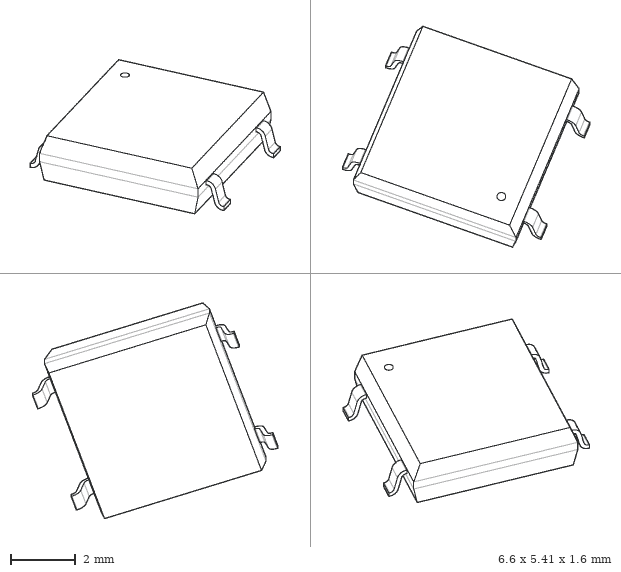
import cadquery as cq
import math

SPAN_X = 6.6
BODY_X = 5.4
BODY_Y = 5.41
BODY_HEIGHT = 1.6

BAND_BOTTOM = 0.65
BAND_TOP = 0.945
TOP_INSET_X = 0.23
BOTTOM_INSET_X = 0.13
INSET_Y = 0.045

LEAD_WIDTH = 0.5
LEAD_THICKNESS = 0.145
LEAD_TOP = 0.925
LEAD_Y = 1.85
INNER_RADIUS = 0.15
OUTER_RADIUS = INNER_RADIUS + LEAD_THICKNESS
LEAN = math.radians(14)

MARKER_DIAMETER = 0.27
MARKER_DEPTH = 0.05
MARKER_X = -1.88
MARKER_Y = LEAD_Y


def tapered_half(band_z, end_z, inset_x):
    """Frustum from the edge of the band to the flat top or bottom face."""
    return (
        cq.Workplane("XY", origin=(0, 0, band_z))
        .rect(BODY_X, BODY_Y)
        .workplane(offset=end_z - band_z)
        .rect(BODY_X - 2 * inset_x, BODY_Y - 2 * INSET_Y)
        .loft(ruled=True)
    )


def make_marker():
    """Disc that fills the marker recess."""
    return (
        cq.Workplane("XY", origin=(MARKER_X, MARKER_Y, BODY_HEIGHT - MARKER_DEPTH))
        .circle(MARKER_DIAMETER / 2)
        .extrude(MARKER_DEPTH)
    )


def make_housing(marker):
    """Housing with a recess for the marker."""
    band = (
        cq.Workplane("XY", origin=(0, 0, BAND_BOTTOM))
        .rect(BODY_X, BODY_Y)
        .extrude(BAND_TOP - BAND_BOTTOM)
    )
    upper = tapered_half(BAND_TOP, BODY_HEIGHT, TOP_INSET_X)
    lower = tapered_half(BAND_BOTTOM, 0, BOTTOM_INSET_X)
    return band.union(upper).union(lower).cut(marker)


def point_on_bend(center, radius, angle):
    """Point at an angle, from +X toward +Z, on a bend of the lead."""
    return (center[0] + radius * math.cos(angle), center[1] + radius * math.sin(angle))


def make_lead():
    """Lead on the +X side, centred on Y = 0, from the housing face to the foot tip."""
    face_x = BODY_X / 2
    tip_x = SPAN_X / 2

    bend_middle_radius = (INNER_RADIUS + OUTER_RADIUS) / 2
    shank_drop = LEAD_TOP - LEAD_THICKNESS - 2 * bend_middle_radius * (1 - math.sin(LEAN))
    shank_run = shank_drop * math.tan(LEAN)
    bends_run = 2 * bend_middle_radius * math.cos(LEAN)
    level_length = (tip_x - face_x - shank_run - bends_run) / 2

    shoulder = (face_x + level_length, LEAD_TOP - OUTER_RADIUS)
    heel = (tip_x - level_length, OUTER_RADIUS)
    shoulder_mid = (LEAN + math.pi / 2) / 2
    heel_mid = shoulder_mid + math.pi
    heel_start = LEAN + math.pi
    profile = (
        cq.Workplane("XZ")
        .moveTo(face_x, LEAD_TOP)
        .lineTo(shoulder[0], LEAD_TOP)
        .threePointArc(
            point_on_bend(shoulder, OUTER_RADIUS, shoulder_mid),
            point_on_bend(shoulder, OUTER_RADIUS, LEAN),
        )
        .lineTo(*point_on_bend(heel, INNER_RADIUS, heel_start))
        .threePointArc(
            point_on_bend(heel, INNER_RADIUS, heel_mid),
            (heel[0], LEAD_THICKNESS),
        )
        .lineTo(tip_x, LEAD_THICKNESS)
        .lineTo(tip_x, 0)
        .lineTo(heel[0], 0)
        .threePointArc(
            point_on_bend(heel, OUTER_RADIUS, heel_mid),
            point_on_bend(heel, OUTER_RADIUS, heel_start),
        )
        .lineTo(*point_on_bend(shoulder, INNER_RADIUS, LEAN))
        .threePointArc(
            point_on_bend(shoulder, INNER_RADIUS, shoulder_mid),
            (shoulder[0], LEAD_TOP - LEAD_THICKNESS),
        )
        .lineTo(face_x, LEAD_TOP - LEAD_THICKNESS)
        .close()
    )
    return profile.extrude(LEAD_WIDTH / 2, both=True)


marker = make_marker()
housing = make_housing(marker)

leads = []
for turn in (0, 180):
    for lead_y in (-LEAD_Y, LEAD_Y):
        lead = make_lead().rotate((0, 0, 0), (0, 0, 1), turn).translate((0, lead_y, 0))
        leads.append(lead.val())

result = cq.Compound.makeCompound([housing.val(), marker.val(), *leads])